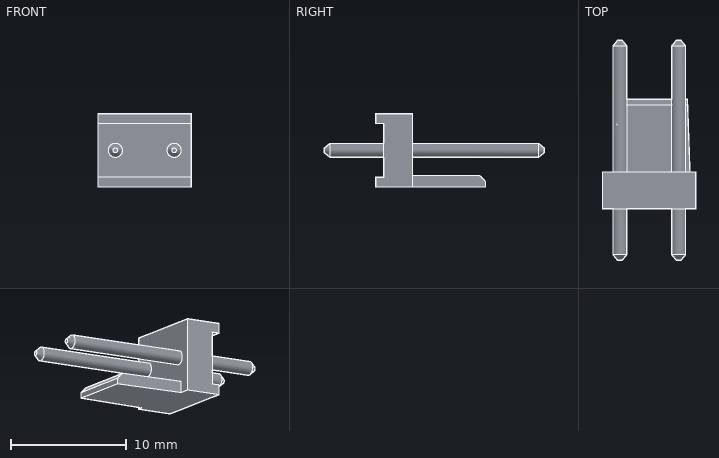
import cadquery as cq

housing_width = 8.08
housing_depth = 3.2
housing_height = 6.35

recess_depth = 0.7
lip_height = 0.87

pin_pitch = 5.08
pin_diameter = 1.22
pin_length = 19.03
pin_front_reach = 4.45
pin_tip_length = 0.5
pin_tip_diameter = 0.4
pin_axis_height = housing_height / 2

tongue_length = 6.3
tongue_thickness = 1.0
tongue_tip_chamfer = 0.5
tongue_left = -2.93
tongue_right = 3.53
tongue_side_taper = 0.22


def make_housing():
    block = cq.Workplane("XY").box(
        housing_width, housing_depth, housing_height, centered=(True, False, False)
    ).translate((0, -housing_depth, 0))
    recess = cq.Workplane("XY").box(
        housing_width, recess_depth, housing_height - 2 * lip_height, centered=(True, False, False)
    ).translate((0, -housing_depth, lip_height))
    return block.cut(recess)


def make_tongue():
    outline = [
        (tongue_left, 0),
        (tongue_right, 0),
        (tongue_right - tongue_side_taper, tongue_length),
        (tongue_left + tongue_side_taper, tongue_length),
    ]
    tongue = cq.Workplane("XY").polyline(outline).close().extrude(tongue_thickness)
    return tongue.faces(">Y").edges(">Z").chamfer(tongue_tip_chamfer)


def make_pin(x):
    """Revolved pin along Y with a truncated cone at each end."""
    front_end = -housing_depth - pin_front_reach
    rear_end = front_end + pin_length
    radius = pin_diameter / 2
    tip_radius = pin_tip_diameter / 2
    half_profile = [
        (0, front_end),
        (tip_radius, front_end),
        (radius, front_end + pin_tip_length),
        (radius, rear_end - pin_tip_length),
        (tip_radius, rear_end),
        (0, rear_end),
    ]
    pin = cq.Workplane("XY").polyline(half_profile).close().revolve(360, (0, 0, 0), (0, 1, 0))
    return pin.translate((x, 0, pin_axis_height))


result = make_housing().union(make_tongue())
for pin_x in (-pin_pitch / 2, pin_pitch / 2):
    result = result.union(make_pin(pin_x))